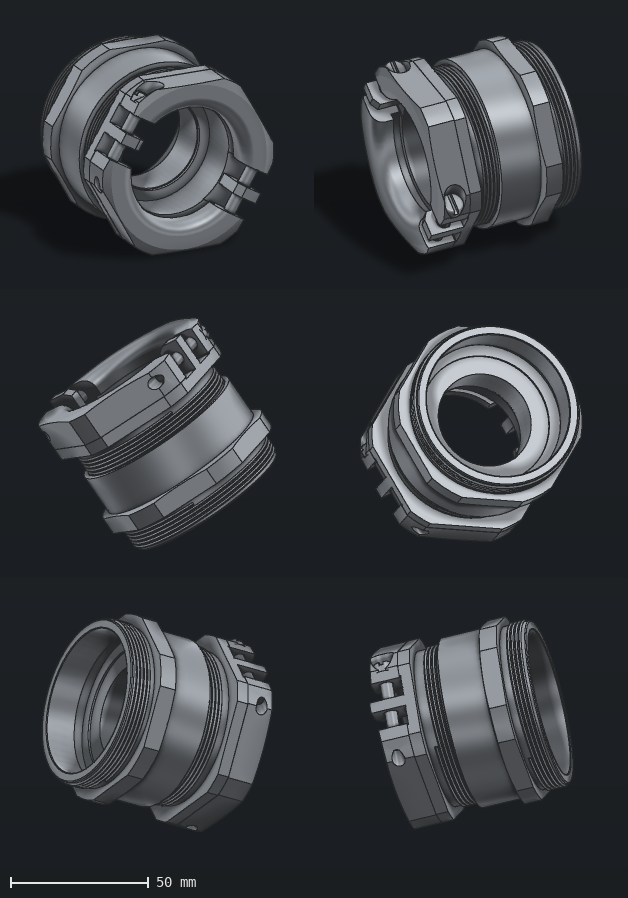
import cadquery as cq
import math

hex_turn = 1.4
assembly_turn = -(30 + hex_turn)

body_length = 32.95
connection_root_diameter = 60.98
connection_crest_diameter = 62.5
connection_chamfer = 0.4
body_hex_start = 9.85
body_hex_end = 17.15
body_hex_width = 65.7
body_hex_diameter = 69.6
barrel_diameter = 63.5
entry_bore_diameter = 54.2
entry_chamfer = 0.3

thread_pitch = 1.5
thread_ridge_width = 1.2
thread_overlap = 0.1
connection_thread_start = 1.3
connection_thread_length = 6.6
nut_thread_start = 33.0
nut_thread_length = 6.7
thread_start_angle = 66
nut_root_diameter = 58.09
nut_crest_diameter = 59.7
thread_clearance = 0.1

cavity_start = 11.9
cavity_diameter = 56.85
front_ring_start = 16.1
front_ring_thickness = 0.8
front_ring_bore = 48.45
seal_start = front_ring_start + front_ring_thickness
seal_end = 30.8
seal_bore = 35.14
rear_ring_thickness = 1.2
rear_ring_bore = 36.0
nut_start = seal_end + rear_ring_thickness

flange_hex_width = 64.4
clamp_hex_diameter = 70.0
flange_start = 42.7
flange_end = 47.25
nut_bore = 43.96
gap_recess_depth = 0.5
gap_recess_half_height = 9.75
tab_end = 59.75
tab_thickness = 4.2
tab_inner_offset = 22.5
tab_chamfer_length = 1.9
tab_chamfer_height = 3.0

jaw_hex_width = 64.2
jaw_end = 58.45
jaw_gap_half_height = 9.2
jaw_bore = 43.96
jaw_counterbore_diameter = 48.3
jaw_counterbore_depth = 3.5
jaw_mouth_radius = 4.5
end_chamfer_depth = 0.8
end_chamfer_diameter = 63.4

screw_x = 53.2
screw_offset = 28.0
shank_diameter = 4.6
screw_tip = -15.9
head_diameter = 8.35
head_top = 17.2
head_height = 4.0
head_edge_radius = 1.0
screw_slot_width = 1.6
screw_slot_depth = 1.5
counterbore_diameter = 8.6
clearance_hole_diameter = 5.3


def cylinder(x_start, x_end, diameter):
    return cq.Workplane("YZ", (x_start, 0, 0)).circle(diameter / 2).extrude(x_end - x_start)


def ring(x_start, x_end, outer_diameter, bore):
    return cylinder(x_start, x_end, outer_diameter).cut(cylinder(x_start, x_end, bore))


def hexagon(x_start, x_end, width):
    """Hexagonal bar along X, with corners on the Z axis."""
    corner_distance = width / math.cos(math.radians(30))
    bar = cq.Workplane("YZ", (x_start, 0, 0)).polygon(6, corner_distance).extrude(x_end - x_start)
    return bar.rotate((0, 0, 0), (1, 0, 0), 90)


def revolved(points):
    return cq.Workplane("XY").polyline(points).close().revolve(360, (0, 0, 0), (1, 0, 0))


def turned_blank(x_start, x_end, diameter):
    """Round blank whose face at x_end is a flat cone around the end diameter."""
    return revolved([
        (x_start, 0),
        (x_start, diameter / 2),
        (x_end - end_chamfer_depth, diameter / 2),
        (x_end, end_chamfer_diameter / 2),
        (x_end, 0),
    ])


def thread_ridge(x_start, length, root_diameter, crest_diameter):
    root = root_diameter / 2 - thread_overlap
    half_width = thread_ridge_width / 2
    helix = cq.Wire.makeHelix(thread_pitch, length, root)
    profile = cq.Workplane("XZ").polyline(
        [(root, -half_width), (crest_diameter / 2, 0), (root, half_width)]
    ).close()
    ridge = profile.sweep(cq.Workplane(obj=helix), isFrenet=True)
    ridge = ridge.rotate((0, 0, 0), (0, 0, 1), 180 + thread_start_angle)
    return ridge.rotate((0, 0, 0), (0, 1, 0), 90).translate((x_start, 0, 0))


def screw_cylinder(side, z_start, z_end, diameter):
    plane = cq.Workplane("XY", (screw_x, side * screw_offset, z_start))
    return plane.circle(diameter / 2).extrude(z_end - z_start)


def make_body():
    body = cylinder(0, body_length, connection_root_diameter).faces("<X").chamfer(connection_chamfer)
    body = body.union(cylinder(body_hex_start, body_length, barrel_diameter))
    collar = hexagon(body_hex_start, body_hex_end, body_hex_width)
    body = body.union(collar.intersect(turned_blank(body_hex_start, body_hex_end, body_hex_diameter)))
    body = body.union(thread_ridge(
        connection_thread_start, connection_thread_length,
        connection_root_diameter, connection_crest_diameter,
    ))
    entry_radius = entry_bore_diameter / 2
    body = body.cut(revolved([
        (0, 0),
        (0, entry_radius + entry_chamfer),
        (entry_chamfer, entry_radius),
        (cavity_start, entry_radius),
        (cavity_start, 0),
    ]))
    body = body.cut(cylinder(cavity_start, nut_start, cavity_diameter))
    return body.cut(cylinder(nut_start, body_length, nut_crest_diameter + thread_clearance))


def make_tab(side):
    outer = flange_hex_width / 2
    plane = cq.Workplane("XY", (0, 0, -tab_thickness / 2))
    tab = plane.polyline([
        (flange_end - gap_recess_depth, side * tab_inner_offset),
        (flange_end - gap_recess_depth, side * outer),
        (tab_end, side * outer),
        (tab_end, side * (tab_inner_offset + tab_chamfer_height)),
        (tab_end - tab_chamfer_length, side * tab_inner_offset),
    ]).close().extrude(tab_thickness)
    return tab.cut(screw_cylinder(side, -tab_thickness, tab_thickness, clearance_hole_diameter))


def make_nut():
    nut = cylinder(nut_start, flange_end, nut_root_diameter)
    nut = nut.union(thread_ridge(nut_thread_start, nut_thread_length, nut_root_diameter, nut_crest_diameter))
    nut = nut.union(
        hexagon(flange_start, flange_end, flange_hex_width)
        .intersect(cylinder(flange_start, flange_end, clamp_hex_diameter))
    )
    recess = cq.Workplane("XY").box(
        gap_recess_depth, 2 * flange_hex_width, 2 * gap_recess_half_height
    ).translate((flange_end - gap_recess_depth / 2, 0, 0))
    nut = nut.cut(recess).cut(cylinder(nut_start, flange_end, nut_bore))
    for side in (-1, 1):
        nut = nut.union(make_tab(side))
    return nut


def make_jaw_bore():
    """Bore of the clamped jaws: a counterbore at the nut and a rounded mouth at the cable exit."""
    bore = jaw_bore / 2
    counterbore = jaw_counterbore_diameter / 2
    counterbore_end = flange_end + jaw_counterbore_depth
    diagonal = jaw_mouth_radius * math.cos(math.radians(45))
    mouth_middle = (jaw_end - jaw_mouth_radius + diagonal, bore + jaw_mouth_radius - diagonal)
    half_section = cq.Workplane("XY").moveTo(flange_end, 0).lineTo(flange_end, counterbore)
    half_section = half_section.lineTo(counterbore_end, counterbore).lineTo(counterbore_end, bore)
    half_section = half_section.lineTo(jaw_end - jaw_mouth_radius, bore)
    half_section = half_section.threePointArc(mouth_middle, (jaw_end, bore + jaw_mouth_radius))
    return half_section.lineTo(jaw_end, 0).close().revolve(360, (0, 0, 0), (1, 0, 0))


def make_jaw(direction):
    blank = hexagon(flange_end, jaw_end, jaw_hex_width).intersect(
        turned_blank(flange_end, jaw_end, clamp_hex_diameter)
    )
    jaw = blank.cut(make_jaw_bore())
    other_side = cq.Workplane("XY").box(
        2 * jaw_end, 2 * clamp_hex_diameter, clamp_hex_diameter
    ).translate((jaw_end, 0, direction * (jaw_gap_half_height - clamp_hex_diameter / 2)))
    jaw = jaw.cut(other_side)
    for side in (-1, 1):
        if direction > 0:
            jaw = jaw.cut(screw_cylinder(side, 0, clamp_hex_diameter, clearance_hole_diameter))
            jaw = jaw.cut(screw_cylinder(side, head_top - head_height, clamp_hex_diameter, counterbore_diameter))
        else:
            jaw = jaw.cut(screw_cylinder(side, -clamp_hex_diameter, 0, shank_diameter))
    return jaw


def make_screw(side):
    head = screw_cylinder(side, head_top - head_height, head_top, head_diameter)
    head = head.faces(">Z").edges().fillet(head_edge_radius)
    slot = cq.Workplane("XY").box(screw_slot_width, 2 * head_diameter, 2 * screw_slot_depth)
    head = head.cut(slot.translate((screw_x, side * screw_offset, head_top)))
    return head.union(screw_cylinder(side, screw_tip, head_top - head_height, shank_diameter))


body = make_body()
front_ring = ring(front_ring_start, seal_start, cavity_diameter, front_ring_bore)
seal = ring(seal_start, seal_end, cavity_diameter, seal_bore)
rear_ring = ring(seal_end, nut_start, cavity_diameter, rear_ring_bore)
nut = make_nut()
jaws = [make_jaw(direction) for direction in (1, -1)]
screws = [make_screw(side) for side in (-1, 1)]

bodies = [body, front_ring, seal, rear_ring, nut, *jaws, *screws]
turned = [b.rotate((0, 0, 0), (1, 0, 0), assembly_turn) for b in bodies]
result = cq.Compound.makeCompound([b.val() for b in turned])